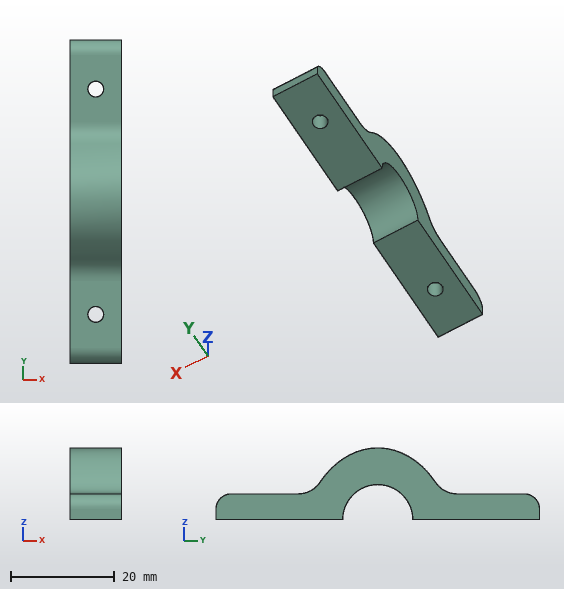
import cadquery as cq

WIDTH = 10.0
LENGTH = 62.51
HEIGHT = 13.87
FLANGE_THICKNESS = 5.0
SIDE_FACE_ORIGIN = (-WIDTH / 2, 0, 0)

ARCH_HALF_WIDTH = 15.0
ARCH_HALF_HEIGHT = 20.0
ARCH_CENTER_Z = HEIGHT - ARCH_HALF_HEIGHT
BORE_DIAMETER = 13.5

ROOT_RADIUS = 5.0
END_RADIUS = 3.0
HOLE_DIAMETER = 3.0
HOLE_SPACING = 43.5


def flange_bar():
    """Flat bar with its underside on Z = 0."""
    return cq.Workplane("XY").box(WIDTH, LENGTH, FLANGE_THICKNESS, centered=(True, True, False))


def arch():
    """Part of an elliptical cylinder along X that lies above Z = 0."""
    cylinder = (
        cq.Workplane("YZ", origin=SIDE_FACE_ORIGIN)
        .center(0, ARCH_CENTER_Z)
        .ellipse(ARCH_HALF_WIDTH, ARCH_HALF_HEIGHT)
        .extrude(WIDTH)
    )
    upper_space = cq.Workplane("XY").box(WIDTH, LENGTH, HEIGHT, centered=(True, True, False))
    return cylinder.intersect(upper_space)


def round_flange_edges(body):
    """Fillet the arch roots and the outer top edges on both flanges."""
    margin = 0.1
    root_edges = cq.selectors.BoxSelector(
        (-WIDTH / 2, -ARCH_HALF_WIDTH, FLANGE_THICKNESS - margin),
        (WIDTH / 2, ARCH_HALF_WIDTH, FLANGE_THICKNESS + margin),
    )
    body = body.edges(root_edges).fillet(ROOT_RADIUS)
    for end in ("<Y", ">Y"):
        body = body.faces(end).edges(">Z").fillet(END_RADIUS)
    return body


def bore():
    """Tube bore along X, centered on the underside."""
    return cq.Workplane("YZ", origin=SIDE_FACE_ORIGIN).circle(BORE_DIAMETER / 2).extrude(WIDTH)


def screw_holes():
    """One vertical through hole in each flange."""
    positions = [(0, -HOLE_SPACING / 2), (0, HOLE_SPACING / 2)]
    return cq.Workplane("XY").pushPoints(positions).circle(HOLE_DIAMETER / 2).extrude(FLANGE_THICKNESS)


result = round_flange_edges(flange_bar().union(arch())).cut(bore()).cut(screw_holes())